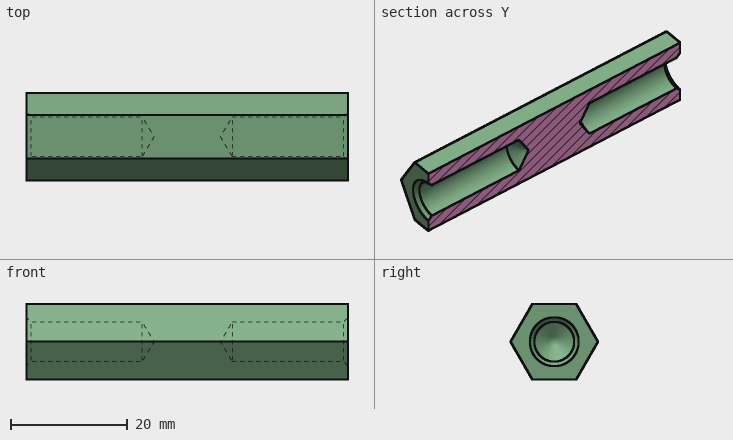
import cadquery as cq
import math

length = 55.0
across_flats = 13.0
across_corners = across_flats / math.cos(math.radians(30))

hole_radius = 3.4
hole_depth = 19.8
mouth_radius = 4.2
mouth_depth = mouth_radius - hole_radius
drill_point_half_angle = 59.0
drill_point_length = hole_radius / math.tan(math.radians(drill_point_half_angle))


def hexagonal_bar():
    """Bar centred on the origin, with corners at +Y and -Y and flats at top and bottom."""
    return cq.Workplane("YZ").polygon(6, across_corners).extrude(length / 2, both=True)


def end_hole():
    """Countersunk hole with a conical bottom, entering the -X end."""
    profile = [
        (0, 0),
        (0, mouth_radius),
        (mouth_depth, hole_radius),
        (hole_depth, hole_radius),
        (hole_depth + drill_point_length, 0),
    ]
    hole = cq.Workplane("XY").polyline(profile).close().revolve(360, (0, 0, 0), (1, 0, 0))
    return hole.translate((-length / 2, 0, 0))


result = hexagonal_bar()
for end_angle in (0, 180):
    result = result.cut(end_hole().rotate((0, 0, 0), (0, 0, 1), end_angle))